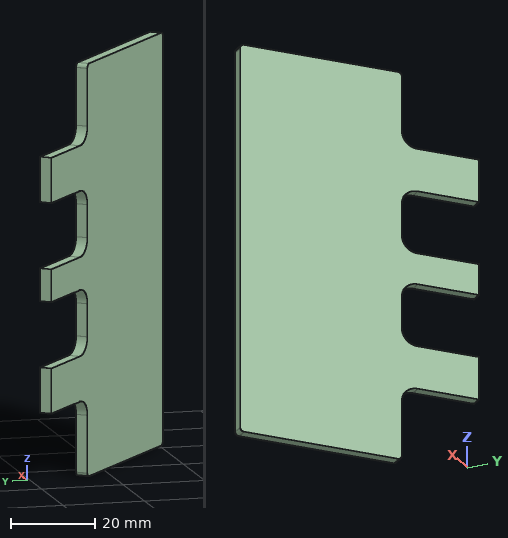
import cadquery as cq

height = 100.0
body_width = 42.0
tab_length = 20.0
thickness = 3.0
outer_tab_height = 11.0
middle_tab_height = 8.0
outer_tab_offset = 25.5
root_radius = 4.0
corner_radius = 1.0
turn_angle = -40.0

total_width = body_width + tab_length
body_left = tab_length - total_width / 2
tab_left = -total_width / 2


def plate_block(left, width, block_height, center_z):
    """Upright block of plate thickness, starting at the given left edge."""
    block = cq.Workplane("XY").box(width, thickness, block_height)
    return block.translate((left + width / 2, 0, center_z))


plate = plate_block(body_left, body_width, height, 0).edges("|Y").fillet(corner_radius)

tab_overlap = body_width / 2
tabs = [
    (outer_tab_offset, outer_tab_height),
    (0, middle_tab_height),
    (-outer_tab_offset, outer_tab_height),
]
for center_z, tab_height in tabs:
    plate = plate.union(plate_block(tab_left, tab_length + tab_overlap, tab_height, center_z))

half_span = outer_tab_offset + outer_tab_height / 2
margin = root_radius / 2
root_zone = cq.selectors.BoxSelector(
    (body_left - margin, -thickness, -half_span - margin),
    (body_left + margin, thickness, half_span + margin),
)
plate = plate.edges("|Y").edges(root_zone).fillet(root_radius)

result = plate.rotate((0, 0, 0), (0, 0, 1), turn_angle)